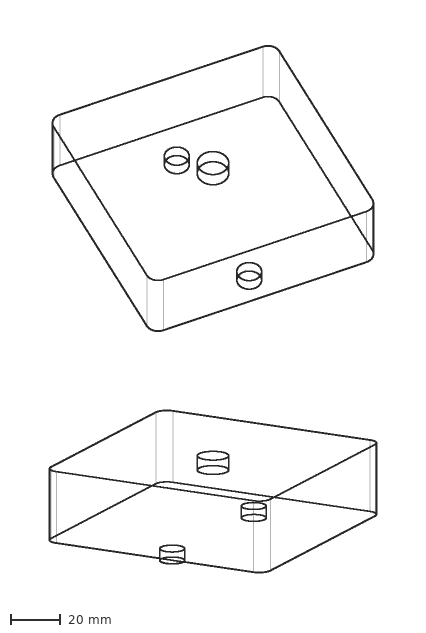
import cadquery as cq

side = 100.0
block_height = 30.0
corner_radius = 5.0

hole_diameter = 12.7
hole_depth = 6.0

pin_diameter = 10.0
pin_length = 5.0
pin_spacing = 70.0


def make_block():
    """Block with rounded vertical edges, standing on Z = 0."""
    block = cq.Workplane("XY").rect(side, side).extrude(block_height)
    return block.edges("|Z").fillet(corner_radius)


def make_hole():
    """Cylinder to remove from the centre of the top face."""
    top_plane = cq.Workplane("XY").workplane(offset=block_height)
    return top_plane.circle(hole_diameter / 2).extrude(-hole_depth)


def make_pins():
    """Pair of round pins hanging down from the bottom face."""
    centres = [(-pin_spacing / 2, 0), (pin_spacing / 2, 0)]
    return cq.Workplane("XY").pushPoints(centres).circle(pin_diameter / 2).extrude(-pin_length)


result = make_block().cut(make_hole()).union(make_pins())